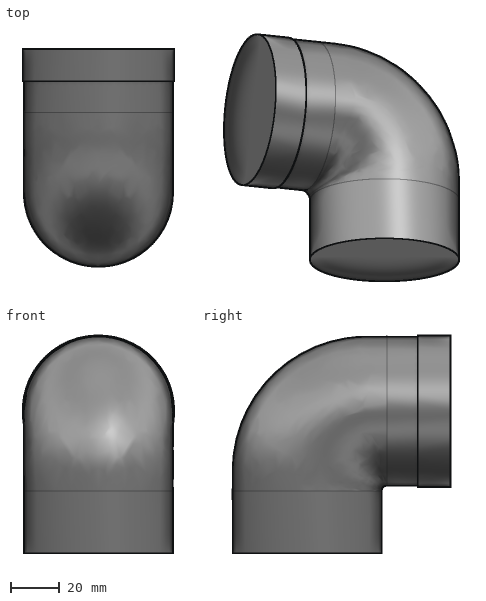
import cadquery as cq
import math

pipe_diameter = 61.0
collar_diameter = 62.0
collar_length = 13.3
lower_leg_length = 25.5
rear_leg_length = 26.0
bend_radius = 32.5
outer_corner_radius = 55.0
bend_steps = 12
bend_angle = math.pi / 2

pipe_radius = pipe_diameter / 2
collar_radius = collar_diameter / 2
collar_start = bend_radius + rear_leg_length - collar_length

outer_reach = bend_radius + pipe_radius
outer_straight = outer_reach - outer_corner_radius


def cylinder_along_y(radius, start, length):
    """Cylinder on the Y axis, from Y = start towards +Y."""
    return cq.Workplane("XZ", origin=(0, start, 0)).circle(radius).extrude(-length)


def outer_distance(angle):
    """Distance from the bend axis to the outer outline, at an angle turned from the lower leg."""
    turn = min(angle, bend_angle - angle)
    if outer_reach * math.tan(turn) <= outer_straight:
        return outer_reach / math.cos(turn)
    along = outer_straight * (math.cos(turn) + math.sin(turn))
    across = outer_straight * (math.cos(turn) - math.sin(turn))
    return along + math.sqrt(outer_corner_radius**2 - across**2)


def bend_section(angle):
    """Elliptical cross-section: the pipe circle stretched away from the bend axis."""
    stretch = outer_distance(angle) / outer_reach
    plane = cq.Plane(
        origin=(0, bend_radius, -bend_radius),
        xDir=(0, -math.cos(angle), math.sin(angle)),
        normal=(0, math.sin(angle), math.cos(angle)),
    )
    section = cq.Workplane(plane).center(stretch * bend_radius, 0)
    return section.ellipse(stretch * pipe_radius, pipe_radius).val()


def make_bend():
    """Smooth solid through the cross-sections, from the lower leg round to the rear leg."""
    angles = [bend_angle * step / bend_steps for step in range(bend_steps + 1)]
    sections = [bend_section(angle) for angle in angles]
    return cq.Workplane(cq.Solid.makeLoft(sections))


def make_lower_leg():
    bend_start = cq.Workplane("XY", origin=(0, 0, -bend_radius))
    return bend_start.circle(pipe_radius).extrude(-lower_leg_length)


def make_rear_leg():
    pipe = cylinder_along_y(pipe_radius, bend_radius, rear_leg_length)
    collar = cylinder_along_y(collar_radius, collar_start, collar_length)
    return pipe.union(collar)


result = make_lower_leg().union(make_bend()).union(make_rear_leg())